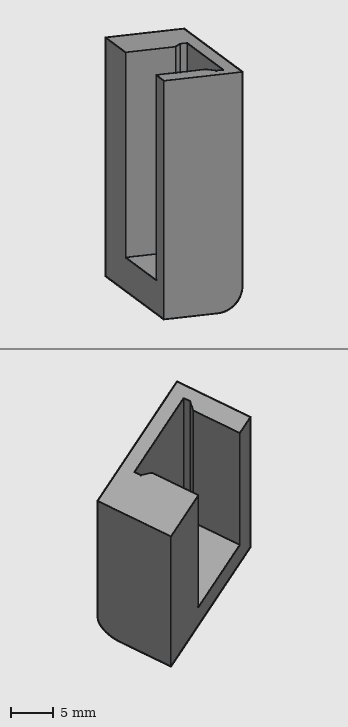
import cadquery as cq

width = 19.05
depth = 10.0
height = 29.5
bottom_radius = 3.13

slot_left = 6.58
slot_width = 9.9
floor_thickness = 4.15
back_wall = 1.83

undercut = 0.95
undercut_straight = 0.88

slot_right = slot_left + slot_width
slot_back = depth - back_wall
taper_back = slot_back - undercut_straight
taper_front = taper_back - undercut

block = (
    cq.Workplane("XY")
    .box(width, depth, height, centered=False)
    .edges("|X and >Y and <Z")
    .fillet(bottom_radius)
)

slot = (
    cq.Workplane("XY", origin=(0, 0, floor_thickness))
    .polyline([
        (slot_left, 0),
        (slot_left, taper_front),
        (slot_left - undercut, taper_back),
        (slot_left - undercut, slot_back),
        (slot_right + undercut, slot_back),
        (slot_right + undercut, taper_back),
        (slot_right, taper_front),
        (slot_right, 0),
    ])
    .close()
    .extrude(height - floor_thickness)
)

result = block.cut(slot)